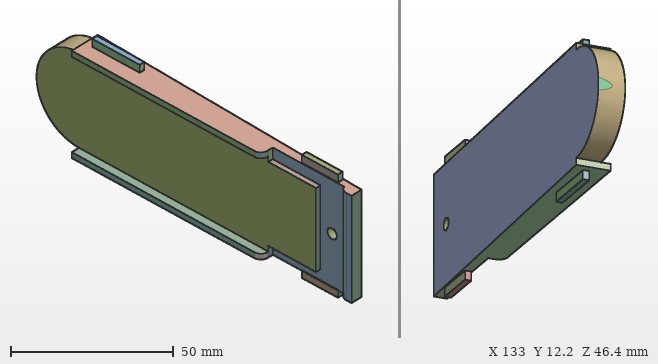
import cadquery as cq
import math

length = 133.0
back_height = 12.2
end_height = 7.7
body_width = 40.4
nose_radius = 18.0

plate_front = 3.2
tail_front = 5.2

rail_end = 97.9
rail_corner_radius = 2.9
pad_end = 118.0
pad_width = 31.7

hook_start = 128.0
hook_radius = 3.0

hole_x = 122.9
hole_diameter = 4.0

tab_span = 46.4
tab_thickness = 2.1
nose_tab_start = 21.0
nose_tab_length = 20.1
nose_tab_front = 5.9
tail_tab_start = 109.9
tail_tab_length = 15.3
tail_tab_front = 5.5

flat_depth = 0.1
flat_height = 4.5


def block(x_start, x_end, y_start, y_end, width):
    """Box centred on Z = 0."""
    box = cq.Workplane("XY").box(x_end - x_start, y_end - y_start, width, centered=(False, False, True))
    return box.translate((x_start, y_start, 0))


def extrude_side_profile(profile, width):
    """Extrude an XY outline evenly to both sides of Z = 0."""
    return profile.close().extrude(width / 2, both=True)


def make_nose_and_plate():
    plate = block(nose_radius, rail_end, plate_front, back_height, 2 * nose_radius)
    nose = (
        cq.Workplane("XZ", origin=(nose_radius, plate_front, 0))
        .circle(nose_radius)
        .extrude(plate_front - back_height)
    )
    return plate.union(nose)


def make_rails():
    rails = block(nose_radius, rail_end, 0, back_height, body_width)
    rails = rails.edges("|Z and >X and <Y").fillet(rail_corner_radius)
    return rails.cut(block(0, length, 0, plate_front, 2 * nose_radius))


def make_hook():
    """Bar with a rounded inner corner that meets its front face smoothly."""
    centre_y = plate_front + hook_radius
    start_angle = math.asin((centre_y - tail_front) / hook_radius)
    middle_angle = (start_angle + math.pi / 2) / 2
    crest_x = hook_start + hook_radius * math.cos(start_angle)
    middle = (
        crest_x - hook_radius * math.cos(middle_angle),
        centre_y - hook_radius * math.sin(middle_angle),
    )
    profile = (
        cq.Workplane("XY")
        .moveTo(hook_start, tail_front)
        .threePointArc(middle, (crest_x, plate_front))
        .lineTo(length, plate_front)
        .lineTo(length, tail_front)
    )
    return extrude_side_profile(profile, body_width)


def make_back_slope_cutter():
    profile = (
        cq.Workplane("XY")
        .moveTo(0, back_height)
        .lineTo(length, end_height)
        .lineTo(length, back_height)
    )
    return extrude_side_profile(profile, body_width)


def make_nose_flat_cutter():
    profile = (
        cq.Workplane("XY")
        .moveTo(0, back_height - flat_height)
        .lineTo(flat_depth, back_height)
        .lineTo(0, back_height)
    )
    return extrude_side_profile(profile, body_width)


def make_tab_pair(start, tab_length, front):
    """One bar through the body whose two ends form the opposite tabs."""
    return block(start, start + tab_length, front, front + tab_thickness, tab_span)


tail = block(rail_end, length, tail_front, back_height, body_width)
pad = block(rail_end, pad_end, plate_front, tail_front, pad_width)
hole = (
    cq.Workplane("XZ", origin=(hole_x, 0, 0))
    .circle(hole_diameter / 2)
    .extrude(-back_height)
)

result = (
    make_nose_and_plate()
    .union(make_rails())
    .union(tail)
    .union(pad)
    .union(make_hook())
    .cut(make_back_slope_cutter())
    .cut(make_nose_flat_cutter())
    .union(make_tab_pair(nose_tab_start, nose_tab_length, nose_tab_front))
    .union(make_tab_pair(tail_tab_start, tail_tab_length, tail_tab_front))
    .cut(hole)
)